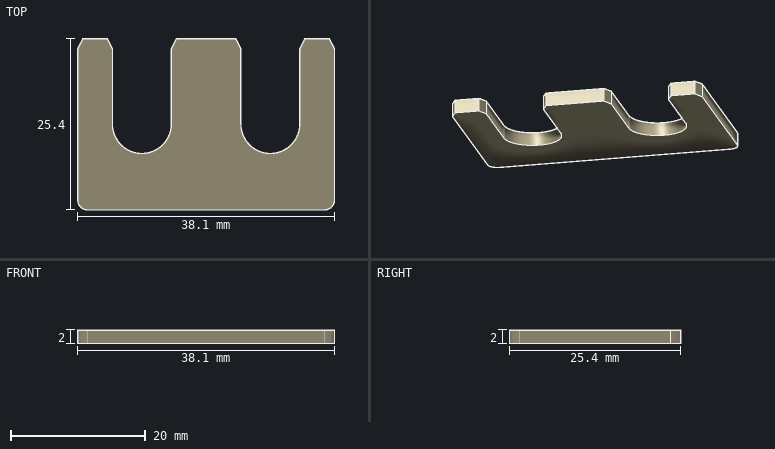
import cadquery as cq

plate_width = 38.1
plate_depth = 25.4
plate_thickness = 2.0
corner_radius = 1.5

slot_width = 8.7
slot_depth = 17.0
slot_pitch = plate_width / 2

tip_inset = 0.75
tip_length = 1.5

back_y = plate_depth / 2
slot_radius = slot_width / 2
slot_centers_x = (-slot_pitch / 2, slot_pitch / 2)


def make_plate():
    """Flat plate with its two front corners rounded."""
    plate = cq.Workplane("XY").box(plate_width, plate_depth, plate_thickness)
    return plate.edges("|Z and <Y").fillet(corner_radius)


def make_slot(center_x):
    """Cutter for a slot that opens through the back edge."""
    round_center_y = back_y - slot_depth + slot_radius
    left = center_x - slot_radius
    right = center_x + slot_radius
    return (
        cq.Workplane("XY")
        .workplane(offset=-plate_thickness / 2)
        .moveTo(left, back_y)
        .lineTo(left, round_center_y)
        .threePointArc((center_x, back_y - slot_depth), (right, round_center_y))
        .lineTo(right, back_y)
        .close()
        .extrude(plate_thickness)
    )


def make_tip_cut(side_x, inward):
    """Wedge cutter for a prong corner at side_x; inward is +1 or -1 along X."""
    return (
        cq.Workplane("XY")
        .workplane(offset=-plate_thickness / 2)
        .moveTo(side_x, back_y)
        .lineTo(side_x + inward * tip_inset, back_y)
        .lineTo(side_x, back_y - tip_length)
        .close()
        .extrude(plate_thickness)
    )


result = make_plate()

for slot_x in slot_centers_x:
    result = result.cut(make_slot(slot_x))
    result = result.cut(make_tip_cut(slot_x - slot_radius, -1))
    result = result.cut(make_tip_cut(slot_x + slot_radius, 1))

result = result.cut(make_tip_cut(-plate_width / 2, 1))
result = result.cut(make_tip_cut(plate_width / 2, -1))